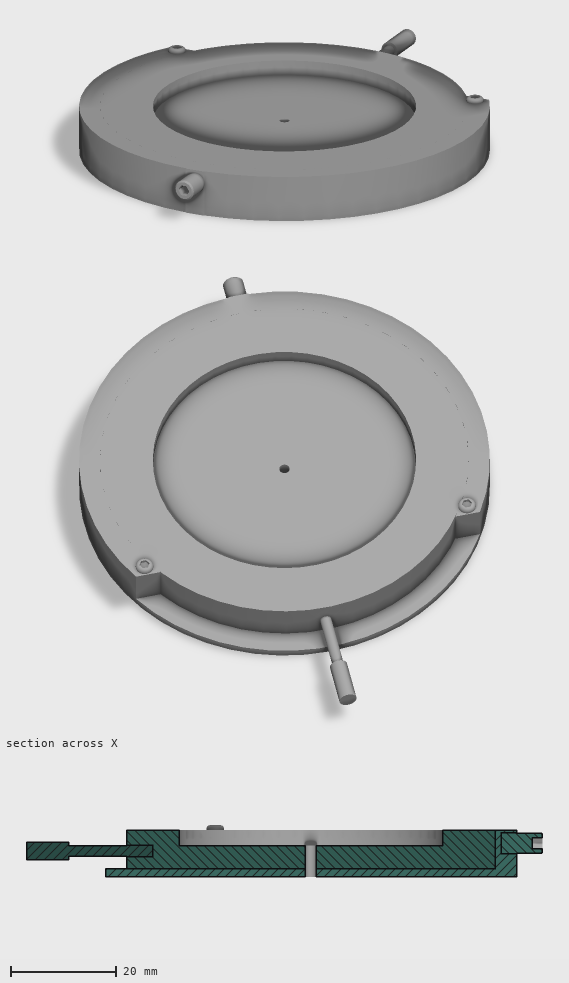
import cadquery as cq
import math

HOUSING_RADIUS = 39.0
HOUSING_HEIGHT = 8.9
FLOOR_THICKNESS = 1.6
RIM_CUT_Y = 20.0
PAD_WIDTH = 3.9
PAD_FACE_Y = -39.1

DISC_RADIUS = 35.0
POCKET_RADIUS = 25.0
POCKET_DEPTH = 2.9
CENTRE_HOLE_RADIUS = 1.0

LEVER_Z = 4.9
LEVER_ROD_RADIUS = 1.1
LEVER_KNOB_RADIUS = 1.7
LEVER_KNOB_LENGTH = 8.1
LEVER_END_Y = 54.0
LEVER_INSERTION = 4.9

LOCK_Z = 6.4
LOCK_RADIUS = 2.0
LOCK_END_Y = LEVER_END_Y - 97.95
LOCK_INSERTION = 2.9
LOCK_CHAMFER = 0.3
LOCK_SOCKET_WIDTH = 2.0
LOCK_SOCKET_DEPTH = 2.0

HEAD_CIRCLE_RADIUS = 36.2
HEAD_ANGLES = (30, 150)
HEAD_RADIUS = 1.7
HEAD_HEIGHT = 0.9
HEAD_ROUNDING = 0.7
HEAD_SOCKET_WIDTH = 1.7
HEAD_SOCKET_DEPTH = 0.6


def rod(radius, y_start, y_end, z):
    """Cylinder parallel to Y, from y_start up to y_end."""
    plane = cq.Plane(origin=(0, y_start, z), xDir=(1, 0, 0), normal=(0, 1, 0))
    return cq.Workplane(plane).circle(radius).extrude(y_end - y_start)


def upright_cylinder(radius, z_bottom, z_top):
    return cq.Workplane("XY").workplane(offset=z_bottom).circle(radius).extrude(z_top - z_bottom)


def make_housing():
    body = upright_cylinder(HOUSING_RADIUS, 0, HOUSING_HEIGHT)
    pad = cq.Workplane("XY").box(
        PAD_WIDTH, HOUSING_RADIUS, HOUSING_HEIGHT, centered=(True, False, False)
    )
    body = body.union(pad.translate((0, PAD_FACE_Y, 0)))
    body = body.cut(upright_cylinder(DISC_RADIUS, FLOOR_THICKNESS, HOUSING_HEIGHT))
    body = body.cut(upright_cylinder(CENTRE_HOLE_RADIUS, 0, FLOOR_THICKNESS))
    rim_cut = cq.Workplane("XY").box(
        2 * HOUSING_RADIUS, HOUSING_RADIUS, HOUSING_HEIGHT, centered=(True, False, False)
    )
    body = body.cut(rim_cut.translate((0, RIM_CUT_Y, FLOOR_THICKNESS)))
    return body.cut(rod(LOCK_RADIUS, PAD_FACE_Y, PAD_FACE_Y + LOCK_INSERTION, LOCK_Z))


def make_disc():
    body = upright_cylinder(DISC_RADIUS, FLOOR_THICKNESS, HOUSING_HEIGHT)
    body = body.cut(upright_cylinder(POCKET_RADIUS, HOUSING_HEIGHT - POCKET_DEPTH, HOUSING_HEIGHT))
    body = body.cut(upright_cylinder(CENTRE_HOLE_RADIUS, FLOOR_THICKNESS, HOUSING_HEIGHT))
    return body.cut(rod(LEVER_ROD_RADIUS, DISC_RADIUS - LEVER_INSERTION, HOUSING_RADIUS, LEVER_Z))


def make_lever():
    knob_start_y = LEVER_END_Y - LEVER_KNOB_LENGTH
    shaft = rod(LEVER_ROD_RADIUS, DISC_RADIUS - LEVER_INSERTION, knob_start_y, LEVER_Z)
    return shaft.union(rod(LEVER_KNOB_RADIUS, knob_start_y, LEVER_END_Y, LEVER_Z))


def make_lock_screw():
    body = rod(LOCK_RADIUS, LOCK_END_Y, PAD_FACE_Y + LOCK_INSERTION, LOCK_Z)
    body = body.faces("<Y").chamfer(LOCK_CHAMFER)
    socket_plane = cq.Plane(origin=(0, LOCK_END_Y, LOCK_Z), xDir=(1, 0, 0), normal=(0, 1, 0))
    socket = cq.Workplane(socket_plane).polygon(6, hexagon_diameter(LOCK_SOCKET_WIDTH))
    return body.cut(socket.extrude(LOCK_SOCKET_DEPTH))


def hexagon_diameter(width_across_flats):
    """Corner-to-corner size of a hexagon."""
    return width_across_flats / math.cos(math.radians(30))


def make_screw_head(angle):
    x = HEAD_CIRCLE_RADIUS * math.cos(math.radians(angle))
    y = HEAD_CIRCLE_RADIUS * math.sin(math.radians(angle))
    head = cq.Workplane("XY").circle(HEAD_RADIUS).extrude(HEAD_HEIGHT)
    head = head.faces(">Z").edges().fillet(HEAD_ROUNDING)
    socket = cq.Workplane("XY").polygon(6, hexagon_diameter(HEAD_SOCKET_WIDTH))
    socket = socket.extrude(HEAD_SOCKET_DEPTH).translate((0, 0, HEAD_HEIGHT - HEAD_SOCKET_DEPTH))
    return head.cut(socket).translate((x, y, HOUSING_HEIGHT))


housing = make_housing()
disc = make_disc()
lever = make_lever()
lock_screw = make_lock_screw()
screw_heads = [make_screw_head(angle) for angle in HEAD_ANGLES]

result = cq.Compound.makeCompound(
    [
        housing.val(),
        disc.val(),
        lever.val(),
        lock_screw.val(),
        *[head.val() for head in screw_heads],
    ]
)